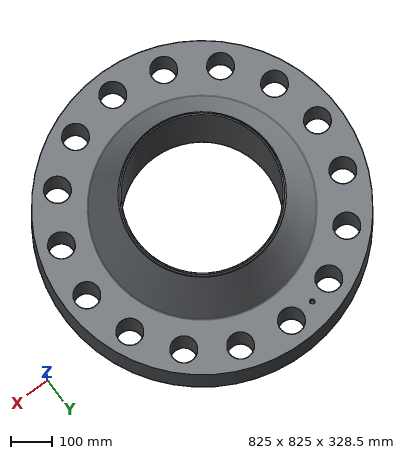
import cadquery as cq
import math

total_height = 328.5
raised_face_height = 17.0
flange_thickness = 146.0
weld_lip_height = 11.5
weld_bevel = 4.0
flange_top = raised_face_height + flange_thickness
lip_bottom = total_height - weld_lip_height

flange_radius = 825 / 2
raised_face_radius = 546.0 / 2
hub_base_radius = 553 / 2
weld_lip_radius = 407.0 / 2
bore_radius = 391.0 / 2
hub_foot_fillet = 2.5

bolt_count = 16
bolt_circle_radius = 705.0 / 2
bolt_hole_diameter = 67.0
bolt_pitch_angle = 360 / bolt_count
first_bolt_angle = 90

small_hole_radius = 12.0 / 2
small_hole_depth = 25
drill_point_angle = 118
drill_point_height = small_hole_radius / math.tan(math.radians(drill_point_angle / 2))
small_hole_angle = first_bolt_angle + bolt_pitch_angle / 2


def point_on_bolt_circle(angle):
    """X and Y of the point on the bolt circle at an angle in degrees from +X."""
    turn = math.radians(angle)
    return (bolt_circle_radius * math.cos(turn), bolt_circle_radius * math.sin(turn))


def revolve_about_z(half_section):
    """Turn a closed outline of (radius, Z) points into a solid about the Z axis."""
    return cq.Workplane("XZ").polyline(half_section).close().revolve(360, (0, 0), (0, 1))


def make_flange():
    """Flange plate with its raised face below."""
    return revolve_about_z([
        (bore_radius, 0),
        (raised_face_radius, 0),
        (raised_face_radius, raised_face_height),
        (flange_radius, raised_face_height),
        (flange_radius, flange_top),
        (bore_radius, flange_top),
    ])


def make_hub():
    """Tapered hub ending in a short straight lip with a weld bevel."""
    return revolve_about_z([
        (bore_radius, flange_top),
        (hub_base_radius, flange_top),
        (weld_lip_radius, lip_bottom),
        (weld_lip_radius, total_height - weld_bevel),
        (weld_lip_radius - weld_bevel, total_height),
        (bore_radius, total_height),
    ])


def round_hub_foot(body):
    """Fillet the inner corner where the hub meets the top of the flange."""
    flat_tops = body.faces(">Z[-2]")
    hub_foot = flat_tops.edges(cq.selectors.RadiusNthSelector(0))
    return hub_foot.fillet(hub_foot_fillet)


def drill_bolt_holes(body):
    """Drill the ring of bolt holes through the flange."""
    centers = [
        point_on_bolt_circle(first_bolt_angle + index * bolt_pitch_angle)
        for index in range(bolt_count)
    ]
    drills = (
        cq.Workplane("XY")
        .workplane(offset=raised_face_height)
        .pushPoints(centers)
        .circle(bolt_hole_diameter / 2)
        .extrude(flange_thickness)
    )
    return body.cut(drills)


def drill_small_hole(body):
    """Drill the small blind hole down from the top of the flange."""
    drill = revolve_about_z([
        (0, 0),
        (small_hole_radius, 0),
        (small_hole_radius, -small_hole_depth),
        (0, -small_hole_depth - drill_point_height),
    ])
    x, y = point_on_bolt_circle(small_hole_angle)
    return body.cut(drill.translate((x, y, flange_top)))


rounded_body = round_hub_foot(make_flange().union(make_hub()))
result = drill_small_hole(drill_bolt_holes(rounded_body))